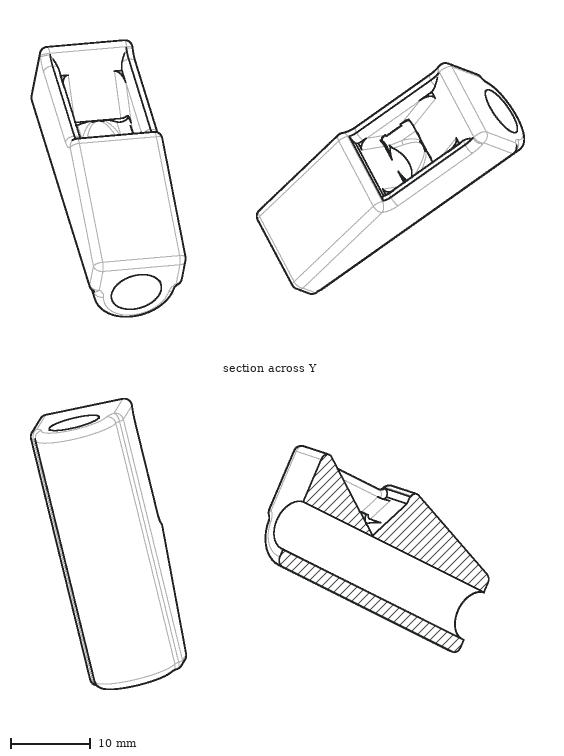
import cadquery as cq
import math

TILT = 30.0

LENGTH = 33.63
BLOCK_HALF_WIDTH = 6.0
BARREL_RADIUS = 5.25
SHOULDER_RADIUS = 1.0
EDGE_RADIUS = 1.0

BORE_RADIUS = 6.45 / 2

BACK_HEIGHT = 10.77
RIM_HEIGHT = 9.4
RAMP_ANGLE = math.radians(30.0)
RAMP_BLEND_RADIUS = 3.0
CREST_BLEND_RADIUS = 1.2
CREST_RADIUS = 1.0
CREST_X = 16.02
CREST_CENTRE_HEIGHT = 9.55
NOSE_ANGLE = math.radians(17.85)

RIM_WIDTH = 2.0
POCKET_HALF_WIDTH = BLOCK_HALF_WIDTH - RIM_WIDTH
POCKET_CORNER_RADIUS = 1.0
FLOOR_TOP = 8.87

VEE_BOTTOM = 5.35
RIDGE_RADIUS = 5.42
RIDGE_FILLET_RADIUS = 1.0
TRENCH_OVERLAP = 0.1

SEAT_RADIUS = BORE_RADIUS
SEAT_GAP = 0.04
SEAT_LENGTH = 6.0
SEAT_LIP_RADIUS = 0.5

RIM_ROUND_RADIUS = RIM_WIDTH / 2
RIM_ROUND_Y = BLOCK_HALF_WIDTH - RIM_ROUND_RADIUS
RIM_ROUND_GAP = 0.05

RAMP_SLOPE = math.tan(RAMP_ANGLE)
FLOOR_SLOPE = 1 / RAMP_SLOPE
CREST_CENTRE_X = CREST_X + CREST_RADIUS
START_BEHIND = 1.0
CLEAR = 20.0


def ramp_x(height):
    return (BACK_HEIGHT - height) / RAMP_SLOPE


def floor_x(height):
    return CREST_X - (FLOOR_TOP - height) / FLOOR_SLOPE


def polar(centre, radius, angle):
    return (centre[0] + radius * math.cos(angle), centre[1] + radius * math.sin(angle))


def mirrored(point):
    return (-point[0], point[1])


def cross_section():
    """Block over barrel, joined on each side by an outward and then an inward arc."""
    radius = SHOULDER_RADIUS
    outward = (BLOCK_HALF_WIDTH - radius, radius)
    to_outward = 2 * radius
    to_axis = BARREL_RADIUS + radius
    span = math.hypot(*outward)
    turn = math.acos((span**2 + to_axis**2 - to_outward**2) / (2 * span * to_axis))
    barrel_angle = math.atan2(outward[1], outward[0]) - turn
    inward = polar((0, 0), to_axis, barrel_angle)
    joint_angle = math.atan2(inward[1] - outward[1], inward[0] - outward[0])

    shoulder = (BLOCK_HALF_WIDTH, radius)
    outward_middle = polar(outward, radius, joint_angle / 2)
    joint = polar(outward, radius, joint_angle)
    inward_middle = polar(inward, radius, (joint_angle + barrel_angle) / 2 + math.pi)
    foot = polar((0, 0), BARREL_RADIUS, barrel_angle)
    return (
        cq.Workplane("YZ")
        .moveTo(BLOCK_HALF_WIDTH, CLEAR)
        .lineTo(*shoulder)
        .threePointArc(outward_middle, joint)
        .threePointArc(inward_middle, foot)
        .threePointArc((0, -BARREL_RADIUS), mirrored(foot))
        .threePointArc(mirrored(inward_middle), mirrored(joint))
        .threePointArc(mirrored(outward_middle), mirrored(shoulder))
        .lineTo(-BLOCK_HALF_WIDTH, CLEAR)
        .close()
    )


def top_line(depth, side):
    """Ramp, rim and the blend up to the crest, drawn this far below the surface at Y = side.

    Returns the open line, its start and the direction angle at its end.
    """
    rim = RIM_HEIGHT - depth
    back = BACK_HEIGHT - depth / math.cos(RAMP_ANGLE)
    start = (-START_BEHIND, back + RAMP_SLOPE * START_BEHIND)

    ramp_blend = RAMP_BLEND_RADIUS + depth
    tangent = ramp_blend * math.tan(RAMP_ANGLE / 2)
    ramp_centre = ((back - rim) / RAMP_SLOPE + tangent, rim + ramp_blend)
    ramp_end = polar(ramp_centre, ramp_blend, -math.pi / 2 - RAMP_ANGLE)
    ramp_middle = polar(ramp_centre, ramp_blend, -math.pi / 2 - RAMP_ANGLE / 2)

    crest_blend = CREST_BLEND_RADIUS + depth
    blend_height = RIM_HEIGHT + CREST_BLEND_RADIUS
    fall_angle = math.asin((CREST_CENTRE_HEIGHT - blend_height) / (CREST_BLEND_RADIUS + CREST_RADIUS))
    blend_x = CREST_CENTRE_X - (CREST_BLEND_RADIUS + CREST_RADIUS) * math.cos(fall_angle)
    crest_centre = (blend_x, blend_height)
    crest_middle = polar(crest_centre, crest_blend, (fall_angle - math.pi / 2) / 2)
    crest_end = polar(crest_centre, crest_blend, fall_angle)

    line = (
        cq.Workplane("XZ", origin=(0, side, 0))
        .moveTo(*start)
        .lineTo(*ramp_end)
        .threePointArc(ramp_middle, (ramp_centre[0], rim))
        .lineTo(blend_x, rim)
        .threePointArc(crest_middle, crest_end)
    )
    return line, start, fall_angle + math.pi / 2


def side_outline():
    """Side view of the body as a plate wider than the block."""
    line, _, rise_angle = top_line(0, 2 * BLOCK_HALF_WIDTH)
    crest_centre = (CREST_CENTRE_X, CREST_CENTRE_HEIGHT)
    nose_angle = math.pi / 2 - NOSE_ANGLE
    crest_middle = polar(crest_centre, CREST_RADIUS, (rise_angle + math.pi / 2 + nose_angle) / 2)
    nose_start = polar(crest_centre, CREST_RADIUS, nose_angle)
    nose_height = nose_start[1] - (LENGTH - nose_start[0]) * math.tan(NOSE_ANGLE)
    return (
        line.threePointArc(crest_middle, nose_start)
        .lineTo(LENGTH, nose_height)
        .lineTo(LENGTH, -CLEAR)
        .lineTo(-START_BEHIND, -CLEAR)
        .close()
        .extrude(4 * BLOCK_HALF_WIDTH)
    )


def outer_body():
    """Body with its two end outlines and the upper edges of its sides rounded."""
    body = cross_section().extrude(LENGTH).intersect(side_outline())
    above_shoulder = cq.selectors.BoxSelector(
        (-CLEAR, -CLEAR, 1.5 * SHOULDER_RADIUS), (2 * LENGTH, CLEAR, CLEAR)
    )
    side_edges = body.faces("<Y or >Y").edges(above_shoulder)
    end_edges = body.faces("<X or >X").edges()
    return end_edges.add(side_edges).fillet(EDGE_RADIUS)


def vee(half_width):
    """Prism between the ramp and the sloping floor, down to the top of the ridge."""
    outline = [
        (ramp_x(CLEAR), CLEAR),
        (ramp_x(VEE_BOTTOM), VEE_BOTTOM),
        (floor_x(VEE_BOTTOM), VEE_BOTTOM),
        (CREST_X, FLOOR_TOP),
        (CREST_X, CLEAR),
    ]
    return cq.Workplane("XZ").polyline(outline).close().extrude(half_width, both=True)


def pocket():
    """The vee with its corners along the side walls rounded."""
    lowest = (ramp_x(VEE_BOTTOM) + floor_x(VEE_BOTTOM)) / 2
    cutter = vee(POCKET_HALF_WIDTH)
    corner_points = [
        ((lowest + ramp_x(CLEAR)) / 2, (VEE_BOTTOM + CLEAR) / 2),
        ((floor_x(VEE_BOTTOM) + CREST_X) / 2, (VEE_BOTTOM + FLOOR_TOP) / 2),
        (CREST_X, (FLOOR_TOP + CLEAR) / 2),
    ]
    corners = cq.Workplane()
    for x, z in corner_points:
        for side in (-POCKET_HALF_WIDTH, POCKET_HALF_WIDTH):
            nearest = cq.selectors.NearestToPointSelector((x, side, z))
            corners = corners.add(cutter.edges(nearest))
    return cq.Workplane(cutter.val().fillet(POCKET_CORNER_RADIUS, corners.vals()))


def ridge_trench():
    """Lower pocket, between the ramp and the floor: straight walls blended into the ridge."""
    radius = RIDGE_FILLET_RADIUS
    fillet_y = POCKET_HALF_WIDTH - radius
    to_fillet = RIDGE_RADIUS + radius
    ridge_angle = math.acos(fillet_y / to_fillet)
    centre = polar((0, 0), to_fillet, ridge_angle)
    foot = polar((0, 0), RIDGE_RADIUS, ridge_angle)
    fillet_middle = polar(centre, radius, (ridge_angle - math.pi) / 2)
    wall = (POCKET_HALF_WIDTH, centre[1])
    top = centre[1] + TRENCH_OVERLAP
    start = ramp_x(VEE_BOTTOM)
    return (
        cq.Workplane("YZ", origin=(start, 0, 0))
        .moveTo(POCKET_HALF_WIDTH, top)
        .lineTo(*wall)
        .threePointArc(fillet_middle, foot)
        .threePointArc((0, RIDGE_RADIUS), mirrored(foot))
        .threePointArc(mirrored(fillet_middle), mirrored(wall))
        .lineTo(-POCKET_HALF_WIDTH, top)
        .close()
        .extrude(floor_x(VEE_BOTTOM) - start)
    )


def inner_rim_round():
    """Material to remove so that the inner half of each side rim is round."""
    line, start, rise_angle = top_line(RIM_ROUND_RADIUS, RIM_ROUND_Y)
    path = line.polarLine(CREST_RADIUS, math.degrees(rise_angle))
    along_ramp = (math.cos(RAMP_ANGLE), 0, -math.sin(RAMP_ANGLE))
    start_plane = cq.Plane((start[0], RIM_ROUND_Y, start[1]), (0, 1, 0), along_ramp)
    tube = cq.Workplane(start_plane).circle(RIM_ROUND_RADIUS).sweep(path)

    outline, _, _ = top_line(RIM_ROUND_RADIUS, RIM_ROUND_Y)
    above_path = (
        outline.polarLine(CREST_RADIUS, math.degrees(rise_angle))
        .lineTo(CREST_CENTRE_X, CLEAR)
        .lineTo(start[0], CLEAR)
        .close()
        .extrude(2 * RIM_ROUND_Y)
    )
    cutter = vee(RIM_ROUND_Y - RIM_ROUND_GAP).intersect(above_path)
    return cutter.cut(tube).cut(tube.mirror("XZ"))


def seat():
    """Flat-bottomed round hole whose side runs along the ramp and whose end is the floor."""
    corner_x = (BACK_HEIGHT - FLOOR_TOP + FLOOR_SLOPE * CREST_X) / (RAMP_SLOPE + FLOOR_SLOPE)
    corner_z = BACK_HEIGHT - RAMP_SLOPE * corner_x
    offset = SEAT_RADIUS + SEAT_GAP
    base_x = corner_x + offset * math.sin(RAMP_ANGLE)
    base_z = corner_z + offset * math.cos(RAMP_ANGLE)
    base = cq.Vector(base_x, 0, base_z)
    up_the_ramp = cq.Vector(-math.cos(RAMP_ANGLE), 0, math.sin(RAMP_ANGLE))
    hole = cq.Workplane(cq.Solid.makeCylinder(SEAT_RADIUS, SEAT_LENGTH, base, up_the_ramp))
    below_vee = cq.Workplane(origin=(corner_x, 0, 0)).rect(CLEAR, CLEAR).extrude(VEE_BOTTOM)
    return hole.intersect(below_vee)


def round_seat_lip(part):
    """Round the curved edges where the side of the seat leaves the ridge."""
    in_trench = cq.selectors.BoxSelector(
        (ramp_x(VEE_BOTTOM), -POCKET_HALF_WIDTH, 0), (floor_x(VEE_BOTTOM), POCKET_HALF_WIDTH, VEE_BOTTOM)
    )
    return part.edges(in_trench).edges("%BSPLINE").fillet(SEAT_LIP_RADIUS)


bore = cq.Workplane("YZ").circle(BORE_RADIUS).extrude(LENGTH)
part = outer_body().cut(pocket()).cut(inner_rim_round()).cut(ridge_trench()).cut(seat())
part = round_seat_lip(part).cut(bore)
result = part.rotate((0, 0, 0), (0, 1, 0), TILT)